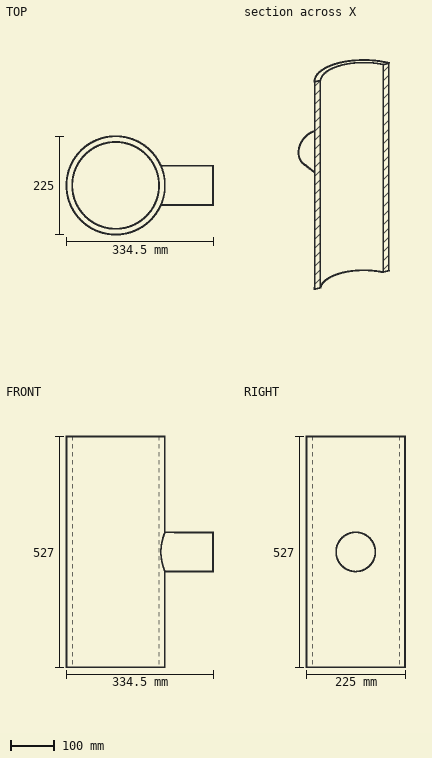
import cadquery as cq

pipe_length = 527.0
pipe_diameter = 225.0
wall_thickness = 13.5
pipe_radius = pipe_diameter / 2
bore_radius = pipe_radius - wall_thickness

overall_width = 334.5
branch_diameter = 89.5
branch_reach = overall_width - pipe_radius
branch_height = pipe_length / 2

pipe = cq.Workplane("XY").circle(pipe_radius).extrude(pipe_length)

branch = (
    cq.Workplane("YZ", origin=(0, 0, branch_height))
    .circle(branch_diameter / 2)
    .extrude(branch_reach)
)

bore = cq.Workplane("XY").circle(bore_radius).extrude(pipe_length)

result = pipe.union(branch).cut(bore)